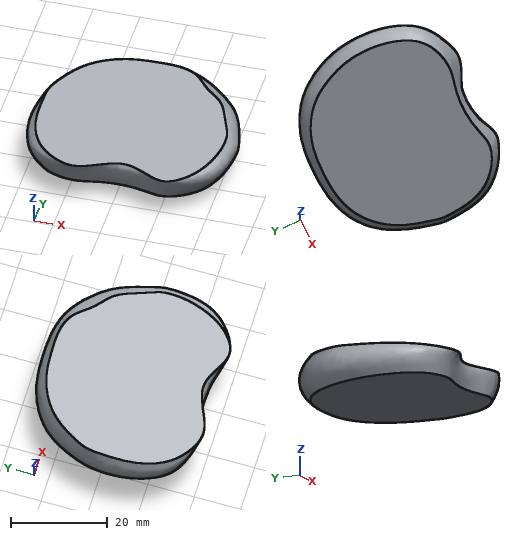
import cadquery as cq


TOP_HEIGHT = 3.55
TOP_RISE_PER_Y = 0.044
TOP_RISE_PER_X = -0.012

BOTTOM_HEIGHT = -3.55
BOTTOM_RISE_PER_Y = -0.052

WAIST_RISE_PER_Y = -0.035

BOTTOM_SCALE = 0.91
BOTTOM_SHIFT_Y = -0.6

TOP_OUTLINE = [
    (19.2, 0), (18.0, 3.15), (15.13, 8.7), (12.75, 10.7), (10.77, 12.8), (8.65, 15.0), (5.85, 16.25),
    (0, 16.65), (-5.8, 16.15), (-14.2, 11.9), (-18.15, 6.6), (-19.55, 3.45), (-19.95, 0),
    (-19.7, -7.15), (-16.85, -14.1), (-13.2, -17.25), (-9.15, -18.6), (-4.4, -17.3),
    (1.55, -15.48), (6.2, -17.05), (10.45, -18.45), (14.05, -16.75), (18.3, -10.55), (19.75, -3.47),
]
WAIST_OUTLINE = [
    (21.8, 0), (20.95, 3.7), (18.15, 10.5), (15.9, 13.35), (13.15, 15.7), (10.0, 17.32), (6.65, 18.25),
    (0, 18.75), (-6.6, 18.1), (-15.75, 13.25), (-19.75, 7.2), (-21.1, 3.7), (-21.8, 0),
    (-21.35, -7.9), (-17.8, -14.8), (-13.65, -17.05), (-9.15, -17.6), (-4.4, -16.7),
    (1.55, -16.4), (6.2, -17.15), (10.45, -18.03), (14.35, -16.97), (20.0, -11.55), (21.9, -3.85),
]


def top_height(x, y):
    return TOP_HEIGHT + TOP_RISE_PER_X * x + TOP_RISE_PER_Y * y


def bottom_height(x, y):
    return BOTTOM_HEIGHT + BOTTOM_RISE_PER_Y * y


def waist_height(x, y):
    return WAIST_RISE_PER_Y * y


def closed_rim(outline, height):
    """Smooth closed wire through the outline points, lifted by the height function."""
    points = [cq.Vector(x, y, height(x, y)) for x, y in outline]
    return cq.Wire.assembleEdges([cq.Edge.makeSpline(points, periodic=True)])


bottom_outline = [
    (BOTTOM_SCALE * x, BOTTOM_SCALE * y + BOTTOM_SHIFT_Y) for x, y in WAIST_OUTLINE
]

rims = [
    closed_rim(bottom_outline, bottom_height),
    closed_rim(WAIST_OUTLINE, waist_height),
    closed_rim(TOP_OUTLINE, top_height),
]

result = cq.Workplane("XY").newObject([cq.Solid.makeLoft(rims)])